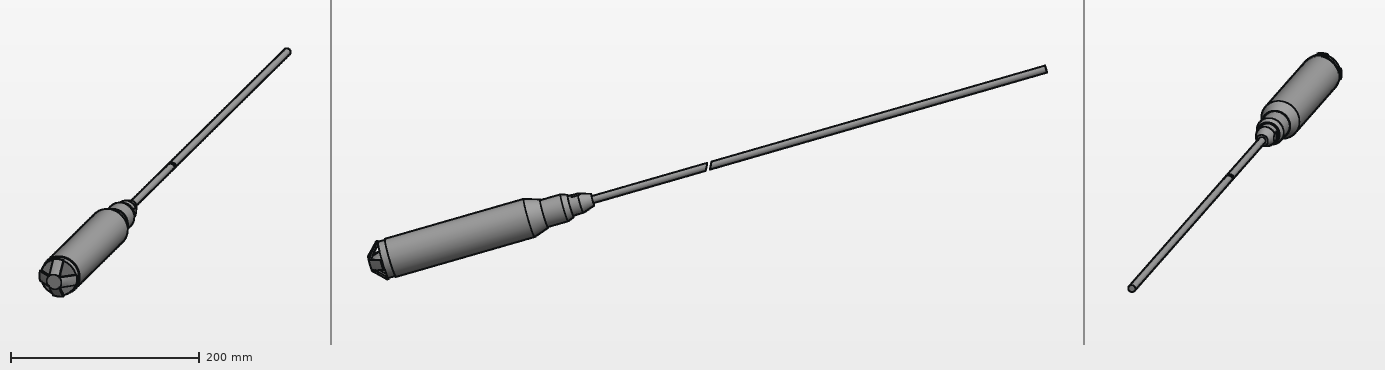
import cadquery as cq
import math

total_length = 750.0

barrel_radius = 21.25
barrel_start = 22.5
barrel_end = 176.5
neck_radius = 20.2
neck_start = 14.5

shoulder_radius = 15.8
shoulder_end = 193.0
collar_radius = 15.0
collar_end = 215.5
taper_radius = 12.5
taper_end = 222.5
gland_radius = 11.0
gland_end = 233.5
nose_radius = 6.5
nose_end = 247.0

flat_offset = 10.0
flat_start = 226.5
flat_depth = gland_radius - flat_offset

cable_radius = 4.0
break_centre = 375.6
break_gap = 4.0
break_angle = 29.0
break_reach = 3 * cable_radius

arm_width = 11.3
arm_thickness = 2.3
tip_radius = 8.3
cage_cone_height = barrel_radius - tip_radius
arm_offset = arm_thickness * math.sqrt(2)


def make_stepped_housing():
    """Barrel, neck, rear steps and the near cable, revolved about Y."""
    outline = [
        (0, neck_start),
        (-neck_radius, neck_start),
        (-neck_radius, barrel_start),
        (-barrel_radius, barrel_start),
        (-barrel_radius, barrel_end),
        (-shoulder_radius, shoulder_end),
        (-collar_radius, shoulder_end),
        (-collar_radius, collar_end),
        (-taper_radius, taper_end),
        (-gland_radius, taper_end),
        (-gland_radius, gland_end),
        (-nose_radius, nose_end),
        (-cable_radius, nose_end),
        (-cable_radius, break_centre + break_reach),
        (0, break_centre + break_reach),
    ]
    return cq.Workplane("XY").polyline(outline).close().revolve(360, (0, 0), (0, 1))


def make_cage():
    """Conical shell with a flat tip, trimmed to a cross of four arms."""
    inner_tip_radius = tip_radius - arm_offset + arm_thickness
    inner_rim_radius = inner_tip_radius + neck_start - arm_thickness
    outline = [
        (0, 0),
        (-tip_radius, 0),
        (-barrel_radius, cage_cone_height),
        (-barrel_radius, neck_start),
        (-inner_rim_radius, neck_start),
        (-inner_tip_radius, arm_thickness),
        (0, arm_thickness),
    ]
    shell = cq.Workplane("XY").polyline(outline).close().revolve(360, (0, 0), (0, 1))
    span = 2 * barrel_radius
    bar_x = cq.Workplane("XY").box(span, neck_start, arm_width, centered=(True, False, True))
    bar_z = cq.Workplane("XY").box(arm_width, neck_start, span, centered=(True, False, True))
    return shell.intersect(bar_x.union(bar_z))


def cut_wrench_flats(body):
    """Flats on both sides of the gland that run out through the nose cone."""
    for side in (-1, 1):
        flat = (
            cq.Workplane("XY")
            .box(flat_depth, nose_end - flat_start, 2 * gland_radius, centered=(True, False, True))
            .translate((side * (flat_offset + flat_depth / 2), flat_start, 0))
        )
        body = body.cut(flat)
    return body


def make_break_block(side):
    """Block with an oblique face on one side of the break: +1 towards the far end, -1 towards the barrel."""
    block_length = 2 * break_reach
    block_shift = side * (block_length - break_gap) / 2
    return (
        cq.Workplane("XY")
        .box(block_length, block_length, block_length)
        .translate((0, block_shift, 0))
        .rotate((0, 0, 0), (0, 0, 1), break_angle)
        .translate((0, break_centre, 0))
    )


def make_probe():
    """Housing with its cage and the near cable piece."""
    body = make_stepped_housing().union(make_cage())
    return cut_wrench_flats(body).cut(make_break_block(1))


def make_far_cable():
    """Separate cable piece beyond the break."""
    start = break_centre - break_reach
    rod = cq.Workplane("XZ", origin=(0, start, 0)).circle(cable_radius).extrude(start - total_length)
    return rod.cut(make_break_block(-1))


probe = make_probe()
far_cable = make_far_cable()

result = cq.Compound.makeCompound([*probe.solids().vals(), *far_cable.solids().vals()])